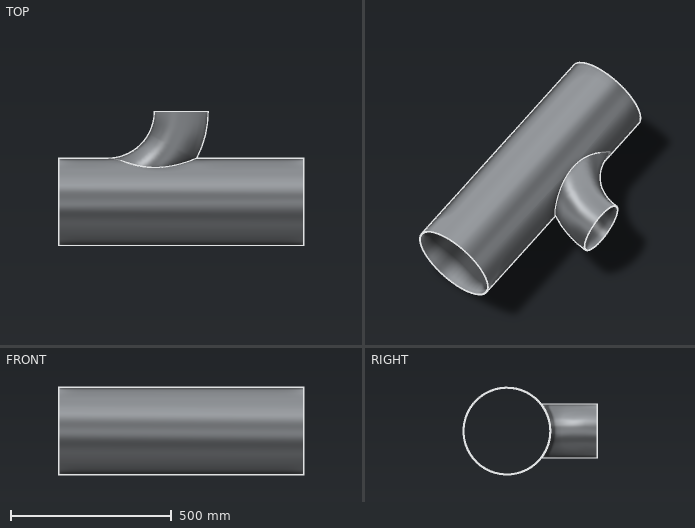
import cadquery as cq

pipe_length = 762.0
pipe_diameter = 273.0
pipe_bore = 267.0
wall = (pipe_diameter - pipe_bore) / 2
pipe_radius = pipe_diameter / 2

branch_diameter = 168.5
branch_bore = branch_diameter - 2 * wall
branch_reach = 145.0
outlet_x = 381.0
outlet_y = pipe_radius + branch_reach
bend_radius = branch_reach + branch_diameter / 2
bend_angle = 90


def pipe_cylinder(diameter):
    return cq.Workplane("YZ").circle(diameter / 2).extrude(pipe_length)


def branch_bend(diameter):
    """Quarter-torus rod from the outlet face, curving towards -X into the pipe."""
    outlet = cq.Workplane("XZ", origin=(outlet_x, outlet_y, 0))
    return outlet.circle(diameter / 2).revolve(bend_angle, (-bend_radius, 0), (-bend_radius, -1))


outer_body = pipe_cylinder(pipe_diameter).union(branch_bend(branch_diameter))
result = outer_body.cut(pipe_cylinder(pipe_bore)).cut(branch_bend(branch_bore))